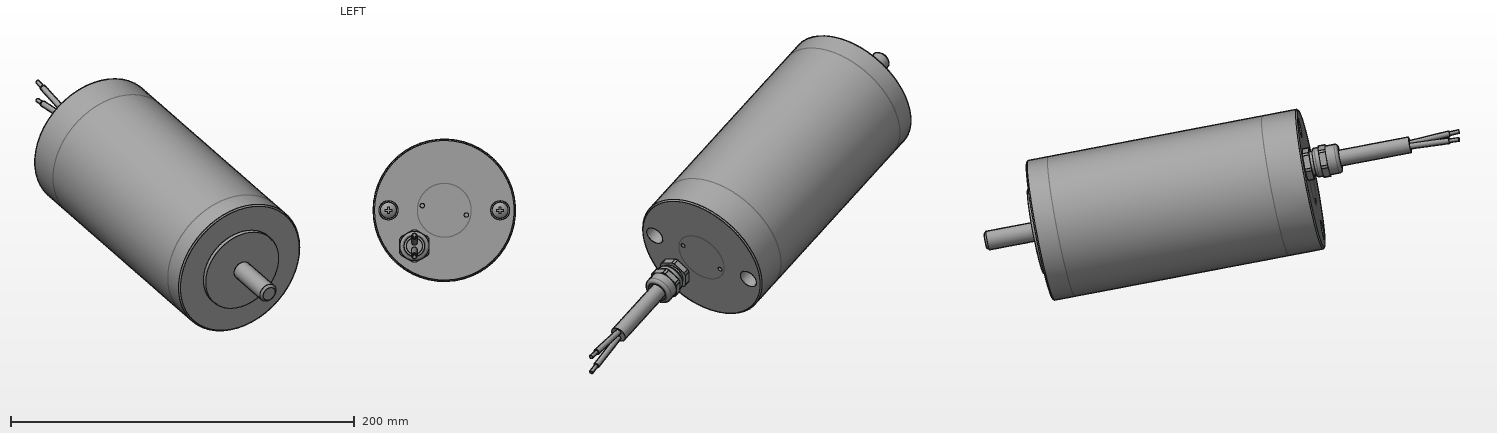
import cadquery as cq
import math

BODY_DIAMETER = 83.0
BODY_LENGTH = 161.0
BODY_CHAMFER = 0.9
REAR_CAP_LENGTH = 21.0
FRONT_CAP_LENGTH = 12.8
COVER_DIAMETER = 31.3
PILOT_DIAMETER = 50.0
PILOT_LENGTH = 2.5
SHAFT_DIAMETER = 11.0
SHAFT_CHAMFER = 1.5
SHAFT_END = 193.5

SCREW_PITCH_RADIUS = 32.5
SCREW_RECESS_DIAMETER = 11.0
SCREW_RECESS_DEPTH = 10.8
SCREW_HEAD_DIAMETER = 9.5
SCREW_HEAD_HEIGHT = 2.8
SCREW_RIM_HEIGHT = 0.5
CROSS_LENGTH = 4.0
CROSS_WIDTH = 1.0
CROSS_DEPTH = 1.7

SPANNER_PITCH_RADIUS = 13.0
SPANNER_HOLE_DIAMETER = 2.6
SPANNER_HOLE_DEPTH = 4.3
SPANNER_ANGLE = 12

GLAND_Y = 17.5
GLAND_Z = -20.8
GLAND_DIAMETER = 17
GLAND_NECK_DIAMETER = 14.0
GLAND_MOUTH_DIAMETER = 13.0
GLAND_BORE_DIAMETER = 12.0
GLAND_BORE_DEPTH = 1.5
GLAND_LENGTH = 20.8
HEX_ACROSS_FLATS = 17
HEX_CORNER_DIAMETER = 18.8
NUT_LENGTH = 3.7
NECK_END = 5.5
COLLAR_START = 9.5
COLLAR_END = 13.5

CABLE_DIAMETER = 9.5
CABLE_END = 62.0
WIRE_OFFSET = 2.3
WIRE_ANGLE = 8
WIRE_DIAMETER = 3.5
WIRE_LENGTH = 23.6
CORE_DIAMETER = 2.3
CORE_END = 91.5
WIRE_ROOT_DEPTH = 2.8


def make_motor():
    """Revolve body, pilot and shaft; the cap joints and cover rim stay as edges."""
    body_radius = BODY_DIAMETER / 2
    pilot_end = BODY_LENGTH + PILOT_LENGTH
    shaft_radius = SHAFT_DIAMETER / 2
    outline = [
        (0, 0),
        (0, COVER_DIAMETER / 2),
        (0, body_radius - BODY_CHAMFER),
        (BODY_CHAMFER, body_radius),
        (REAR_CAP_LENGTH, body_radius),
        (BODY_LENGTH - FRONT_CAP_LENGTH, body_radius),
        (BODY_LENGTH - BODY_CHAMFER, body_radius),
        (BODY_LENGTH, body_radius - BODY_CHAMFER),
        (BODY_LENGTH, PILOT_DIAMETER / 2),
        (pilot_end, PILOT_DIAMETER / 2),
        (pilot_end, shaft_radius),
        (SHAFT_END - SHAFT_CHAMFER, shaft_radius),
        (SHAFT_END, shaft_radius - SHAFT_CHAMFER),
        (SHAFT_END, 0),
    ]
    return cq.Workplane("XY").polyline(outline).close().revolve(360, (0, 0, 0), (1, 0, 0), clean=False)


def rod(start, length, diameter, y=0, z=0):
    """Cylinder along +X that starts at x = start."""
    return cq.Workplane("YZ", origin=(start, y, z)).circle(diameter / 2).extrude(length)


def make_screw_recess(y):
    """Space around a domed screw head, including the cross slot cut into it."""
    recess = rod(0, SCREW_RECESS_DEPTH, SCREW_RECESS_DIAMETER, y)
    dome_height = SCREW_HEAD_HEIGHT - SCREW_RIM_HEIGHT
    rim_radius = SCREW_HEAD_DIAMETER / 2
    sphere_radius = (rim_radius**2 + dome_height**2) / (2 * dome_height)
    head_top = SCREW_RECESS_DEPTH - SCREW_HEAD_HEIGHT
    sphere = cq.Workplane("XY").sphere(sphere_radius).translate((head_top + sphere_radius, y, 0))
    head = rod(head_top, SCREW_HEAD_HEIGHT, SCREW_HEAD_DIAMETER, y).intersect(sphere)
    slots = cq.Workplane("YZ", origin=(head_top, y, 0))
    slot_across = slots.rect(CROSS_LENGTH, CROSS_WIDTH).extrude(CROSS_DEPTH)
    slot_upright = slots.rect(CROSS_WIDTH, CROSS_LENGTH).extrude(CROSS_DEPTH)
    return recess.cut(head.cut(slot_across).cut(slot_upright))


def make_spanner_hole(side):
    angle = math.radians(SPANNER_ANGLE)
    y = side * SPANNER_PITCH_RADIUS * math.cos(angle)
    z = side * SPANNER_PITCH_RADIUS * math.sin(angle)
    return rod(0, SPANNER_HOLE_DEPTH, SPANNER_HOLE_DIAMETER, y, z)


def gland_rod(near, far, diameter):
    """Cylinder on the gland axis between two distances behind the rear face."""
    return rod(-far, far - near, diameter, GLAND_Y, GLAND_Z)


def gland_hexagon(near, far):
    """Hexagonal prism on the gland axis, corners at top and bottom and turned off round."""
    across_corners = HEX_ACROSS_FLATS / math.cos(math.radians(30))
    hexagon = (
        cq.Workplane("YZ", origin=(-far, GLAND_Y, GLAND_Z))
        .transformed(rotate=(0, 0, 30))
        .polygon(6, across_corners)
        .extrude(far - near)
    )
    return hexagon.intersect(gland_rod(near, far, HEX_CORNER_DIAMETER))


def make_gland():
    """Rounded barrel with a hexagonal collar, then a neck and a nut against the body."""
    mouth_round = (GLAND_DIAMETER - GLAND_MOUTH_DIAMETER) / 2
    shoulder_round = (GLAND_DIAMETER - GLAND_NECK_DIAMETER) / 2
    barrel = gland_rod(NECK_END, GLAND_LENGTH, GLAND_DIAMETER)
    barrel = barrel.faces("<X").edges().fillet(mouth_round)
    barrel = barrel.faces(">X").edges().fillet(shoulder_round)
    bore = gland_rod(GLAND_LENGTH - GLAND_BORE_DEPTH, GLAND_LENGTH, GLAND_BORE_DIAMETER)
    neck = gland_rod(NUT_LENGTH, NECK_END, GLAND_NECK_DIAMETER)
    nut = gland_hexagon(0, NUT_LENGTH)
    collar = gland_hexagon(COLLAR_START, COLLAR_END)
    return barrel.cut(bore).union(neck).union(nut).union(collar)


def make_wire(side):
    """One insulated wire with a bare core, tilted away from the cable axis."""
    tilt = math.radians(WIRE_ANGLE)
    core_length = (CORE_END - CABLE_END - CORE_DIAMETER / 2 * math.sin(tilt)) / math.cos(tilt)
    insulation = rod(-WIRE_LENGTH, WIRE_LENGTH + WIRE_ROOT_DEPTH, WIRE_DIAMETER)
    core = rod(-core_length, core_length, CORE_DIAMETER)
    return (
        insulation.union(core)
        .rotate((0, 0, 0), (0, 1, 0), side * WIRE_ANGLE)
        .translate((-CABLE_END, GLAND_Y, GLAND_Z + side * WIRE_OFFSET))
    )


result = make_motor()
for side in (-1, 1):
    result = result.cut(make_screw_recess(side * SCREW_PITCH_RADIUS), clean=False)
    result = result.cut(make_spanner_hole(side), clean=False)

cable = gland_rod(GLAND_LENGTH - GLAND_BORE_DEPTH, CABLE_END, CABLE_DIAMETER)
result = result.union(make_gland(), clean=False).union(cable, clean=False)
for side in (-1, 1):
    result = result.union(make_wire(side), clean=False)